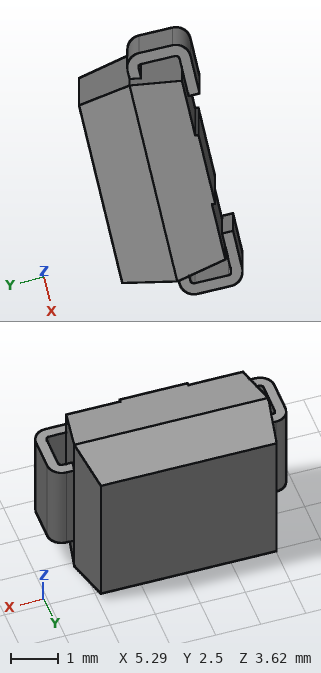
import cadquery as cq
import math

housing_length = 4.305
housing_height = 3.62
back_depth = 1.14
front_depth = 1.155
draft_angle = 10.0

pad_width = 1.515
pad_rise = 0.07

lead_span = 5.29
lead_width = 2.09
lead_thickness = 0.24
lead_depth = 1.36
lead_outer_radius = 0.32
lead_inner_radius = lead_outer_radius - lead_thickness
foot_length = 1.135


def housing_half(depth, direction):
    """One half of the moulding, tapering from the parting plane along direction * Y."""
    inset = depth * math.tan(math.radians(draft_angle))
    return (
        cq.Workplane("XZ")
        .rect(housing_length, housing_height)
        .workplane(offset=-direction * depth)
        .rect(housing_length - 2 * inset, housing_height - 2 * inset)
        .loft(ruled=True)
    )


def pad_relief(side):
    """Block removed from the front face on one side of the central pad."""
    relief_length = (housing_length - pad_width) / 2
    return (
        cq.Workplane("XY")
        .box(relief_length, pad_rise, housing_height)
        .translate((side * (pad_width + relief_length) / 2, pad_rise / 2 - front_depth, 0))
    )


def make_housing():
    """Complete moulding with the pad left standing on its front face."""
    housing = housing_half(back_depth, 1).union(housing_half(front_depth, -1))
    for side in (-1, 1):
        housing = housing.cut(pad_relief(side))
    return housing


def make_lead(side, housing):
    """C-shaped strip from the housing end face around to a foot in front of the housing."""
    outer_x = side * lead_span / 2
    inner_x = side * (lead_span / 2 - lead_thickness)
    foot_x = side * (lead_span / 2 - foot_length)
    strip = (
        cq.Workplane("XY")
        .moveTo(foot_x, 0)
        .lineTo(outer_x, 0)
        .lineTo(outer_x, -lead_depth)
        .lineTo(foot_x, -lead_depth)
        .lineTo(foot_x, lead_thickness - lead_depth)
        .lineTo(inner_x, lead_thickness - lead_depth)
        .lineTo(inner_x, -lead_thickness)
        .lineTo(foot_x, -lead_thickness)
        .close()
        .extrude(lead_width / 2, both=True)
    )
    outward = ">X" if side > 0 else "<X"
    strip = strip.faces(outward).edges("|Z").fillet(lead_outer_radius)
    inner_bends = cq.selectors.BoxSelector(
        (inner_x - lead_inner_radius, -lead_depth, -lead_width),
        (inner_x + lead_inner_radius, 0, lead_width),
    )
    strip = strip.edges("|Z").edges(inner_bends).fillet(lead_inner_radius)
    return strip.cut(housing)


housing = make_housing()
leads = [make_lead(side, housing) for side in (-1, 1)]

result = cq.Compound.makeCompound([housing.solids().val(), *[lead.solids().val() for lead in leads]])